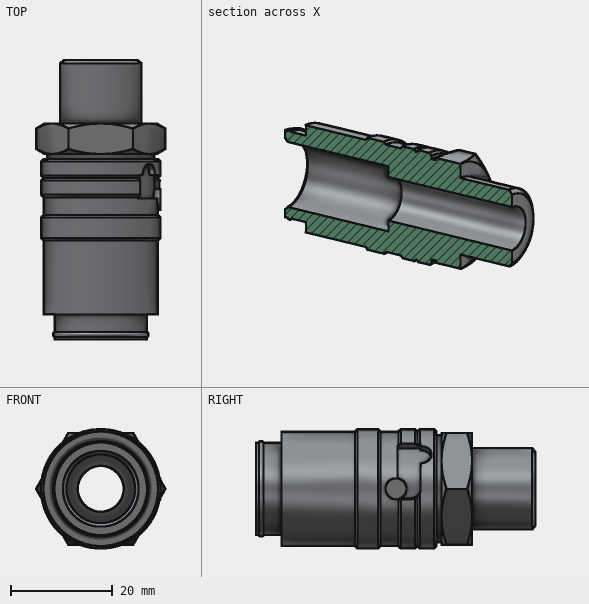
import cadquery as cq
import math


SPIGOT_END = 5.0
REAR_RING = (31.75, 35.5)
MIDDLE_RING = (28.0, 31.75)
FRONT_RING = (19.5, 24.5)
HEX_START = 36.5
HEX_END = 42.5
LENGTH = 55.0

SPIGOT_R = 9.1
SLEEVE_R = 11.25
RING_R = 11.75
NECK_R = 10.55
THREAD_R = 8.05
RING_CHAMFER = RING_R - SLEEVE_R
THREAD_CHAMFER_DEPTH = 0.9
THREAD_CHAMFER_LENGTH = 0.7

HEX_ACROSS_FLATS = 22.0
HEX_ACROSS_CORNERS = HEX_ACROSS_FLATS / math.cos(math.pi / 6)
HEX_CHAMFER_ANGLE = 30.0

BEAD_Y = 1.03
BEAD_R = 0.5
BEAD_CENTRE_R = 8.9

BORE_R = 6.75
BORE_DEPTH = 25.0
BORE_CHAMFER = 0.7
THROUGH_R = 4.5

SLOT_FLOOR_R = NECK_R
SLOT_HALF_ANGLE = 10.15
SLOT_END_R = RING_R * math.tan(math.radians(SLOT_HALF_ANGLE))
SLOT_ANGLES = (-SLOT_HALF_ANGLE, 49.0)
SLOT_BOTTOM = 27.8
SLOT_TOP = 32.4
NOTCH_ANGLE = 35.35

ROOT_X = 9.0
CLEAR_R = RING_R + 1.0

PIN_R = 2.07
PIN_Y = 27.55


def cylinder(radius, start, end):
    """Cylinder about Y between two stations."""
    return cq.Workplane("XZ", origin=(0, start, 0)).circle(radius).extrude(start - end)


def ring(start, end):
    """Raised band of the sleeve, chamfered down to the sleeve surface."""
    return cylinder(RING_R, start, end).edges().chamfer(RING_CHAMFER)


def sector(inner_r, start, end, first_angle, last_angle):
    """Piece of a tube about Y, between two stations and two angles."""
    return (
        cq.Workplane("XY")
        .moveTo(inner_r, start)
        .lineTo(CLEAR_R, start)
        .lineTo(CLEAR_R, end)
        .lineTo(inner_r, end)
        .close()
        .revolve(last_angle - first_angle, (0, 0, 0), (0, -1, 0))
        .rotate((0, 0, 0), (0, -1, 0), first_angle)
    )


def round_end(angle, y):
    """Cutter for a round slot end whose sides converge on the Y axis."""
    slope = math.tan(math.radians(SLOT_HALF_ANGLE))
    cutter = (
        cq.Workplane("YZ", origin=(ROOT_X, y, 0))
        .ellipse(SLOT_END_R, ROOT_X * slope)
        .workplane(offset=CLEAR_R - ROOT_X)
        .ellipse(SLOT_END_R, CLEAR_R * slope)
        .loft(ruled=True)
    )
    return cutter.rotate((0, 0, 0), (0, -1, 0), angle)


def hexagon():
    """Spanner hexagon with its corners chamfered on both faces."""
    prism = (
        cq.Workplane("XZ", origin=(0, HEX_START, 0))
        .polygon(6, HEX_ACROSS_CORNERS)
        .extrude(HEX_START - HEX_END)
    )
    flat_r = HEX_ACROSS_FLATS / 2
    corner_r = HEX_ACROSS_CORNERS / 2
    drop = (corner_r - flat_r) * math.tan(math.radians(HEX_CHAMFER_ANGLE))
    envelope = (
        cq.Workplane("XY")
        .moveTo(0, HEX_START)
        .lineTo(flat_r, HEX_START)
        .lineTo(corner_r, HEX_START + drop)
        .lineTo(corner_r, HEX_END - drop)
        .lineTo(flat_r, HEX_END)
        .lineTo(0, HEX_END)
        .close()
        .revolve(360, (0, 0, 0), (0, 1, 0))
    )
    return prism.intersect(envelope)


def outside():
    """Solid outer shape, from the spigot to the threaded end."""
    bead = (
        cq.Workplane("XY")
        .center(BEAD_CENTRE_R, BEAD_Y)
        .circle(BEAD_R)
        .revolve(360, (-BEAD_CENTRE_R, 0, 0), (-BEAD_CENTRE_R, 1, 0))
    )
    thread = cylinder(THREAD_R, HEX_END, LENGTH)
    thread = thread.faces(">Y").chamfer(THREAD_CHAMFER_LENGTH, THREAD_CHAMFER_DEPTH)
    body = cylinder(SPIGOT_R, 0, SPIGOT_END).union(bead)
    body = body.union(cylinder(SLEEVE_R, SPIGOT_END, REAR_RING[0]))
    for start, end in (FRONT_RING, MIDDLE_RING, REAR_RING):
        body = body.union(ring(start, end))
    body = body.union(cylinder(NECK_R, REAR_RING[1], HEX_START))
    return body.union(hexagon()).union(thread)


def cut_bore(body):
    """Through hole with a wider, chamfered bore at the front."""
    body = body.cut(cylinder(THROUGH_R, 0, LENGTH))
    bore = cylinder(BORE_R, 0, BORE_DEPTH)
    mouth = cq.Workplane(
        cq.Solid.makeCone(
            BORE_R + BORE_CHAMFER, BORE_R, BORE_CHAMFER, cq.Vector(0, 0, 0), cq.Vector(0, 1, 0)
        )
    )
    return body.cut(bore).cut(mouth)


def cut_locking_slot(body):
    """Turning slot with a rounded corner at one end and a round notch at the other."""
    corner_y = SLOT_TOP - SLOT_END_R
    first, last = SLOT_ANGLES
    cutter = sector(SLOT_FLOOR_R, SLOT_BOTTOM, corner_y, first, last)
    cutter = cutter.union(sector(SLOT_FLOOR_R, corner_y, SLOT_TOP, 0, last))
    tube = cylinder(CLEAR_R, 0, LENGTH).cut(cylinder(SLOT_FLOOR_R, 0, LENGTH))
    for angle, y in ((0, corner_y), (NOTCH_ANGLE, SLOT_TOP)):
        cutter = cutter.union(round_end(angle, y).intersect(tube))
    return body.cut(cutter)


def locking_pin():
    """Round pin along +X, as high as the sleeve rings."""
    return (
        cq.Workplane("YZ", origin=(ROOT_X, PIN_Y, 0))
        .circle(PIN_R)
        .extrude(RING_R - ROOT_X)
    )


result = cut_locking_slot(cut_bore(outside())).union(locking_pin())